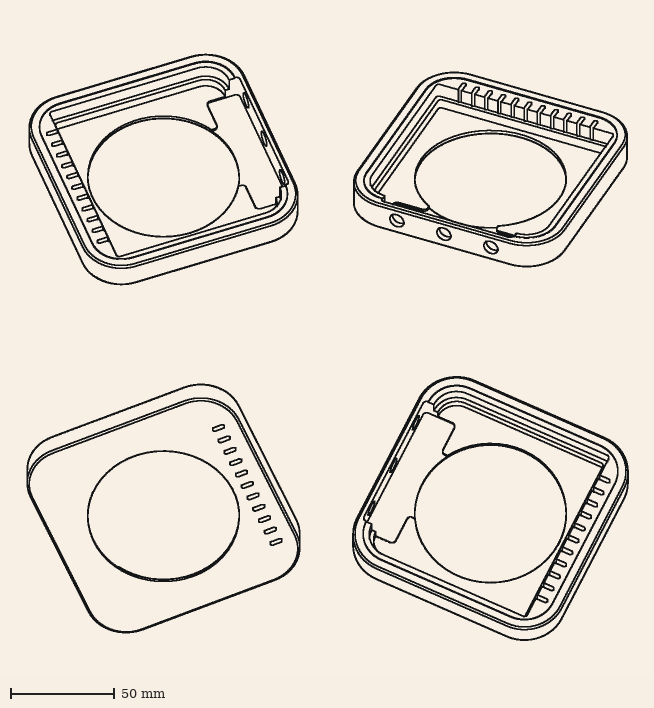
import cadquery as cq

side = 110.0
height = 15.0
corner_radius = 20.0
edge_chamfer = 1.0

lip_inset = 5.0
lip_depth = 0.5
cavity_inset = 7.9
cavity_front_y = -41.6
cavity_front_radius = 1.5
ledge_width = 2.1
ledge_z = 7.0
floor_z = 2.0
bore_diameter = 73.4

recess_floor_z = 1.0
recess_width = 69.8
recess_rear_y = 52.0
recess_front_y = 35.2
recess_neck_width = 36.7
recess_corner_radius = 2.0

port_diameter = 7.4
port_count = 3
port_pitch = 25.0
port_z = 8.0

vent_count = 11
vent_span = 70.0
vent_pitch = vent_span / (vent_count - 1)
vent_width = 2.1
vent_length = 6.0
vent_overlap = 0.3


def rounded_square(inset, bottom, top):
    """Square prism concentric with the outline of the frame."""
    width = side - 2 * inset
    prism = cq.Workplane("XY").workplane(offset=bottom).rect(width, width).extrude(top - bottom)
    return prism.edges("|Z").fillet(corner_radius - inset)


def cavity_step(extra_inset, bottom):
    """Cavity open to the top: large rear corners and a straight front wall with small corners."""
    inset = cavity_inset + extra_inset
    half_width = side / 2 - inset
    front_y = cavity_front_y + extra_inset
    length = half_width - front_y
    step = (
        cq.Workplane("XY")
        .workplane(offset=bottom)
        .center(0, front_y + length / 2)
        .rect(2 * half_width, length)
        .extrude(height - bottom)
    )
    step = step.edges("|Z and >Y").fillet(corner_radius - inset)
    return step.edges("|Z and <Y").fillet(cavity_front_radius)


def connector_recess():
    """T-shaped pocket whose neck runs into the bore."""
    selection_margin = 1.1
    depth = height - recess_floor_z
    length = recess_rear_y - recess_front_y
    base = cq.Workplane("XY").workplane(offset=recess_floor_z)
    head = base.center(0, recess_front_y + length / 2).rect(recess_width, length).extrude(depth)
    neck = base.center(0, recess_front_y / 2).rect(recess_neck_width, recess_front_y).extrude(depth)
    recess = head.edges("|Z").fillet(recess_corner_radius).union(neck)
    half_box_width = recess_neck_width / 2 + selection_margin
    inner_corners = cq.selectors.BoxSelector(
        (-half_box_width, recess_front_y - selection_margin, 0),
        (half_box_width, recess_front_y + selection_margin, height),
    )
    return recess.edges("|Z").edges(inner_corners).fillet(recess_corner_radius)


def rear_ports():
    return (
        cq.Workplane("XZ", origin=(0, side / 2, port_z))
        .rarray(port_pitch, 1.1, port_count, 1)
        .circle(port_diameter / 2)
        .extrude(side / 2 - recess_front_y)
    )


def vents():
    return (
        cq.Workplane("XY")
        .center(0, cavity_front_y + vent_overlap - vent_length / 2)
        .rarray(vent_pitch, 1.1, vent_count, 1)
        .slot2D(vent_length, vent_width, 90)
        .extrude(height)
    )


body = rounded_square(0, 0, height).faces("<Z or >Z").chamfer(edge_chamfer)
body = body.cut(rounded_square(lip_inset, height - lip_depth, height))
body = body.cut(cavity_step(0, ledge_z))
body = body.cut(cavity_step(ledge_width, floor_z))
body = body.cut(cq.Workplane("XY").circle(bore_diameter / 2).extrude(height))
body = body.cut(connector_recess())
body = body.cut(rear_ports())
result = body.cut(vents())